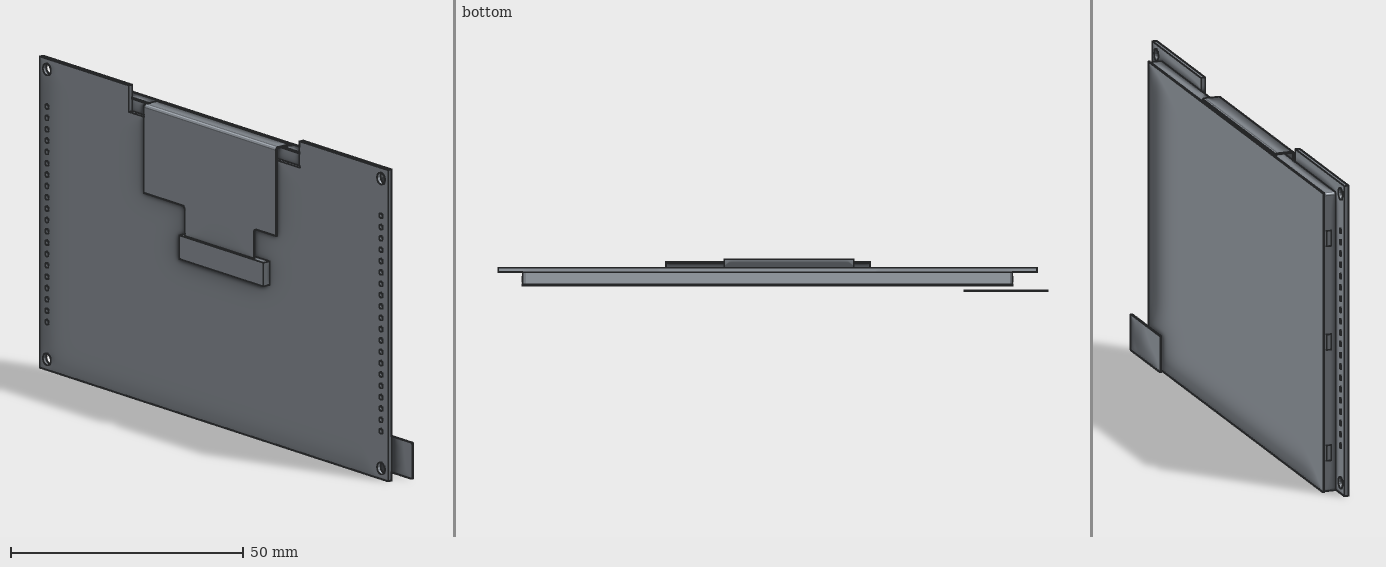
import cadquery as cq


BOARD_WIDTH = 116.0
BOARD_HEIGHT = 69.7
BOARD_THICKNESS = 1.0
NOTCH_LEFT = -28.3
NOTCH_WIDTH = 56.8
NOTCH_DEPTH = 5.9
MOUNT_HOLE_DIAMETER = 2.6
MOUNT_HOLE_INSET = 2.4
PIN_HOLE_DIAMETER = 1.1
PIN_PITCH = 2.54
PINS_PER_SIDE = 20

COVER_WIDTH = 105.5
COVER_HEIGHT = 67.2
COVER_THICKNESS = 0.3
COVER_DROP = 0.3
FRAME_DEPTH = 2.6
BEZEL_SETBACK = 0.05
BEZEL_WALL = 0.35
BEZEL_CORNER_RADIUS = 0.5

LATCH_HEIGHT = 3.45
LATCH_DEPTH = 1.1
LATCH_PROUD = 0.1
LATCH_FRONT_GAP = 0.5
LATCH_CENTERS = (8.45, 33.35, 56.65)

CONNECTOR_LEFT = -9.35
CONNECTOR_WIDTH = 27.95
CONNECTOR_BOTTOM = 35.35
CONNECTOR_HEIGHT = 5.3
CONNECTOR_DEPTH = 1.8

CABLE_THICKNESS = 0.3
CABLE_LEFT = -21.9
CABLE_WIDTH = 44
CABLE_NECK_LEFT = -8.25
CABLE_NECK_WIDTH = 22.95
CABLE_SHOULDER_HEIGHT = 47.25
CABLE_SHOULDER_RADIUS = 0.8
CABLE_BEND_RADIUS = 0.6
CABLE_REAR = -1.2
CABLE_FRONT_GAP = 0.4

TAB_WIDTH = 18
TAB_HEIGHT = 8.1
TAB_THICKNESS = 0.3
TAB_RIGHT = 60.35
TAB_BOTTOM = 0.1
TAB_GAP = 0.95
TAB_CORNER_RADIUS = 0.5

frame_front = BOARD_THICKNESS + FRAME_DEPTH
cover_front = frame_front + COVER_THICKNESS
cable_front = frame_front - CABLE_FRONT_GAP
bezel_width = COVER_WIDTH - 2 * BEZEL_SETBACK
bezel_height = COVER_HEIGHT - 2 * BEZEL_SETBACK
bezel_bottom = BEZEL_SETBACK - COVER_DROP
bezel_top = bezel_bottom + bezel_height
frame_width = bezel_width - 2 * BEZEL_WALL
frame_height = bezel_height - 2 * BEZEL_WALL
frame_bottom = bezel_bottom + BEZEL_WALL
frame_top = frame_bottom + frame_height


def block(left, rear, bottom, width, depth, height):
    """Box given by its lowest corner and its sizes along X, Y and Z."""
    return cq.Workplane("XY").box(width, depth, height, centered=False).translate((left, rear, bottom))


def cross_holes(points, diameter):
    """Cylinders along Y through the board at the given (x, z) points."""
    plane = cq.Workplane("XZ").pushPoints(points)
    return plane.circle(diameter / 2).extrude(-BOARD_THICKNESS)


def make_board():
    board = block(-BOARD_WIDTH / 2, 0, 0, BOARD_WIDTH, BOARD_THICKNESS, BOARD_HEIGHT)
    notch_bottom = BOARD_HEIGHT - NOTCH_DEPTH
    board = board.cut(block(NOTCH_LEFT, 0, notch_bottom, NOTCH_WIDTH, BOARD_THICKNESS, NOTCH_DEPTH))
    hole_x = BOARD_WIDTH / 2 - MOUNT_HOLE_INSET
    mount_rows = (MOUNT_HOLE_INSET, BOARD_HEIGHT - MOUNT_HOLE_INSET)
    mount_points = [(side * hole_x, z) for side in (-1, 1) for z in mount_rows]
    first_pin = BOARD_HEIGHT / 2 - PIN_PITCH * (PINS_PER_SIDE - 1) / 2
    pin_rows = [first_pin + PIN_PITCH * i for i in range(PINS_PER_SIDE)]
    pin_points = [(side * hole_x, z) for side in (-1, 1) for z in pin_rows]
    board = board.cut(cross_holes(mount_points, MOUNT_HOLE_DIAMETER))
    return board.cut(cross_holes(pin_points, PIN_HOLE_DIAMETER))


def make_frame():
    """Plain block with latches reaching out on the left and right sides."""
    frame = block(-frame_width / 2, BOARD_THICKNESS, frame_bottom, frame_width, FRAME_DEPTH, frame_height)
    latch_rear = frame_front - LATCH_FRONT_GAP - LATCH_DEPTH
    latch_span = bezel_width + 2 * LATCH_PROUD
    for center in LATCH_CENTERS:
        bottom = center - LATCH_HEIGHT / 2
        latch_bar = block(-latch_span / 2, latch_rear, bottom, latch_span, LATCH_DEPTH, LATCH_HEIGHT)
        frame = frame.union(latch_bar)
    return frame


def make_bezel(frame):
    """Rounded band around the frame, with a slot in its top wall where the cable comes out."""
    bezel = block(-bezel_width / 2, BOARD_THICKNESS, bezel_bottom, bezel_width, FRAME_DEPTH, bezel_height)
    bezel = bezel.edges("|Y").fillet(BEZEL_CORNER_RADIUS)
    slot_rear = cable_front - CABLE_THICKNESS
    slot = block(CABLE_LEFT, slot_rear, frame_top, CABLE_WIDTH, CABLE_THICKNESS, BEZEL_WALL)
    return bezel.cut(frame).cut(slot)


def make_cover():
    return block(-COVER_WIDTH / 2, frame_front, -COVER_DROP, COVER_WIDTH, COVER_THICKNESS, COVER_HEIGHT)


def make_connector():
    return block(
        CONNECTOR_LEFT, -CONNECTOR_DEPTH, CONNECTOR_BOTTOM, CONNECTOR_WIDTH, CONNECTOR_DEPTH, CONNECTOR_HEIGHT
    )


def make_cable():
    """Strip bent twice: out of the bezel's slot, back over its top wall, then down to the connector."""
    connector_top = CONNECTOR_BOTTOM + CONNECTOR_HEIGHT
    cable_top = bezel_top + CABLE_THICKNESS
    depth = cable_front - CABLE_REAR
    cable = block(CABLE_LEFT, CABLE_REAR, connector_top, CABLE_WIDTH, depth, cable_top - connector_top)
    cable = cable.edges("|X and >Z").fillet(CABLE_BEND_RADIUS)
    inside = block(
        CABLE_LEFT,
        CABLE_REAR + CABLE_THICKNESS,
        connector_top,
        CABLE_WIDTH,
        depth - 2 * CABLE_THICKNESS,
        bezel_top - connector_top,
    )
    inside = inside.edges("|X and >Z and <Y").fillet(CABLE_BEND_RADIUS - CABLE_THICKNESS)
    below_front_end = block(
        CABLE_LEFT, BOARD_THICKNESS, connector_top, CABLE_WIDTH, FRAME_DEPTH, frame_top - connector_top
    )
    cable = cable.cut(inside).cut(below_front_end)
    shoulder = CABLE_SHOULDER_HEIGHT - connector_top
    neck_right = CABLE_NECK_LEFT + CABLE_NECK_WIDTH
    cable_right = CABLE_LEFT + CABLE_WIDTH
    for left, right, edge in ((CABLE_LEFT, CABLE_NECK_LEFT, ">X"), (neck_right, cable_right, "<X")):
        relief = block(left, CABLE_REAR, connector_top, right - left, CABLE_THICKNESS, shoulder)
        relief = relief.edges(f"|Y and >Z and {edge}").fillet(CABLE_SHOULDER_RADIUS)
        cable = cable.cut(relief)
    return cable


def make_tab():
    rear = cover_front + TAB_GAP
    tab = block(TAB_RIGHT - TAB_WIDTH, rear, TAB_BOTTOM, TAB_WIDTH, TAB_THICKNESS, TAB_HEIGHT)
    return tab.edges("|Y and >X").fillet(TAB_CORNER_RADIUS)


board = make_board()
frame = make_frame()
bezel = make_bezel(frame)
cover = make_cover()
cable = make_cable()
connector = make_connector()
tab = make_tab()

result = cq.Compound.makeCompound(
    [board.val(), frame.val(), bezel.val(), cover.val(), cable.val(), connector.val(), tab.val()]
)